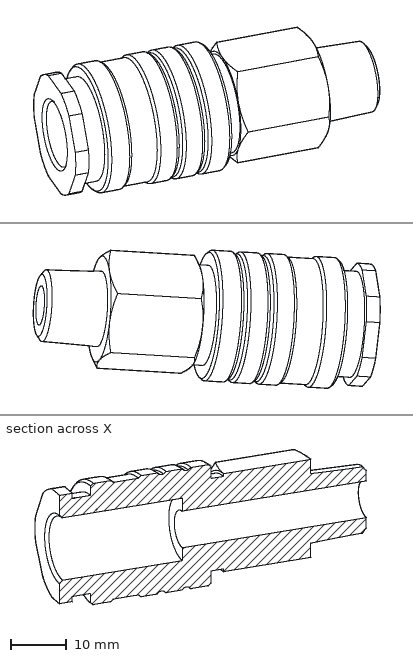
import cadquery as cq
import math

LENGTH = 60.0

COLLAR_DIAMETER = 22.0
COLLAR_ACROSS_FLATS = 21.0
COLLAR_LENGTH = 2.5

SOCKET_BODY_DIAMETER = 19.1
NECK_DIAMETER = 18.0

SLEEVE_START = 6.05
SLEEVE_END = 29.65
RING_DIAMETER = 23.5
SLEEVE_DIAMETER = 22.7
RING_BEVEL_LENGTH = 0.55
RING_SPANS = [(SLEEVE_START, 10.55), (15.4, 19.6), (20.3, 24.5), (25.15, SLEEVE_END)]

HEX_ACROSS_FLATS = 19.0
HEX_START = 32.05
HEX_END = 49.15
HEX_BEVEL_ANGLE = 30.0

NIPPLE_BASE_DIAMETER = 13.55
NIPPLE_TAPER = 1 / 16
TIP_BEVEL_LENGTH = 0.7
TIP_BEVEL_DEPTH = 0.9

SOCKET_DIAMETER = 12.0
SOCKET_DEPTH = 24.0
SOCKET_MOUTH_DIAMETER = 13.2
PASSAGE_DIAMETER = 7.0


def revolve_profile(points):
    """Revolve a closed outline of (radius, Y) points about the Y axis."""
    return cq.Workplane("XY").polyline(points).close().revolve(360, (0, 0, 0), (0, 1, 0))


def cylinder(diameter, start, end):
    radius = diameter / 2
    return revolve_profile([(0, start), (radius, start), (radius, end), (0, end)])


def hex_prism(across_flats, start, end):
    """Hexagonal prism along Y with corners on the X axis and flats facing Z."""
    across_corners = across_flats / math.cos(math.radians(30))
    return (
        cq.Workplane("XZ", origin=(0, start, 0))
        .polygon(6, across_corners)
        .extrude(start - end)
    )


def bevelled_disc(outer_radius, face_radius, bevel_length, start, end):
    """Disc whose two rims slope from the outer radius down to the face radius."""
    return revolve_profile([
        (0, start),
        (face_radius, start),
        (outer_radius, start + bevel_length),
        (outer_radius, end - bevel_length),
        (face_radius, end),
        (0, end),
    ])


def make_collar():
    disc = cylinder(COLLAR_DIAMETER, 0, COLLAR_LENGTH)
    return disc.intersect(hex_prism(COLLAR_ACROSS_FLATS, 0, COLLAR_LENGTH))


def make_sleeve():
    sleeve = cylinder(SLEEVE_DIAMETER, SLEEVE_START, SLEEVE_END)
    for start, end in RING_SPANS:
        ring = bevelled_disc(RING_DIAMETER / 2, SLEEVE_DIAMETER / 2, RING_BEVEL_LENGTH, start, end)
        sleeve = sleeve.union(ring)
    return sleeve


def make_wrench_hex():
    face_radius = HEX_ACROSS_FLATS / 2
    corner_radius = face_radius / math.cos(math.radians(30))
    bevel_length = (corner_radius - face_radius) * math.tan(math.radians(HEX_BEVEL_ANGLE))
    envelope = bevelled_disc(corner_radius, face_radius, bevel_length, HEX_START, HEX_END)
    return hex_prism(HEX_ACROSS_FLATS, HEX_START, HEX_END).intersect(envelope)


def make_nipple():
    base_radius = NIPPLE_BASE_DIAMETER / 2
    bevel_start = LENGTH - TIP_BEVEL_LENGTH
    taper_end_radius = base_radius - (bevel_start - HEX_END) * NIPPLE_TAPER / 2
    return revolve_profile([
        (0, HEX_END),
        (base_radius, HEX_END),
        (taper_end_radius, bevel_start),
        (taper_end_radius - TIP_BEVEL_DEPTH, LENGTH),
        (0, LENGTH),
    ])


def make_bore():
    """Stepped cavity: bevelled mouth, wide socket, then a narrow through passage."""
    mouth_radius = SOCKET_MOUTH_DIAMETER / 2
    socket_radius = SOCKET_DIAMETER / 2
    passage_radius = PASSAGE_DIAMETER / 2
    mouth_depth = mouth_radius - socket_radius
    return revolve_profile([
        (0, 0),
        (mouth_radius, 0),
        (socket_radius, mouth_depth),
        (socket_radius, SOCKET_DEPTH),
        (passage_radius, SOCKET_DEPTH),
        (passage_radius, LENGTH),
        (0, LENGTH),
    ])


socket_body = cylinder(SOCKET_BODY_DIAMETER, COLLAR_LENGTH, SLEEVE_START)
neck = cylinder(NECK_DIAMETER, SLEEVE_END, HEX_START)

result = (
    make_collar()
    .union(socket_body)
    .union(make_sleeve())
    .union(neck)
    .union(make_wrench_hex())
    .union(make_nipple())
    .cut(make_bore())
)